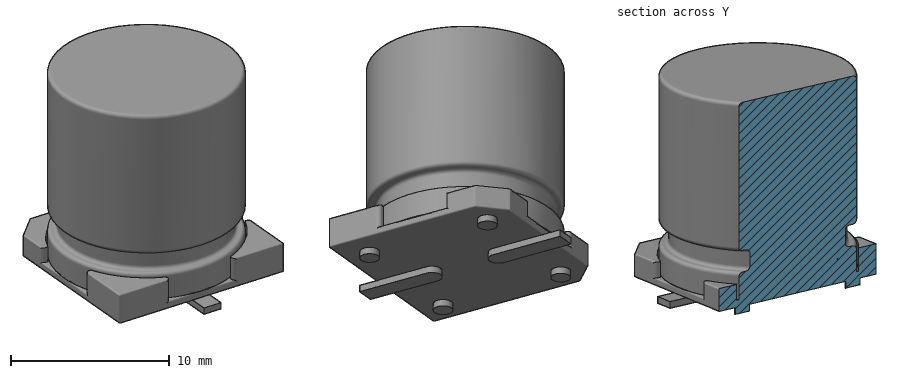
import cadquery as cq

total_height = 14.0
lead_span = 14.9
base_size = 12.5
half_base = base_size / 2

can_radius = 6.25
neck_radius = 5.625
can_edge_round = 0.25
neck_bottom = 2.73
neck_top = 4.13

standoff = 0.45
floor_top = 0.95
low_post_top = 2.0
high_post_top = 2.5
corner_chamfer = 1.6
base_edge_round = 0.1
post_clearance = 0.1
notch_half_width = 2.42
post_tip_round = 0.25

foot_diameter = 1.25
foot_offset = 4.375
lead_width = 1.3
lead_inner_tip = 1.825


def base_block(top):
    """Square base block with both -X corners chamfered and all edges rounded, from standoff to top."""
    block = (
        cq.Workplane("XY")
        .workplane(offset=standoff)
        .rect(base_size, base_size)
        .extrude(top - standoff)
    )
    block = block.edges("|Z and <X").chamfer(corner_chamfer)
    return block.edges().fillet(base_edge_round)


def corner_post(side_x, side_y, top):
    """Corner post outside the can clearance, with rounded outer edges beside the notches."""
    post_width = half_base - notch_half_width
    post_center = (half_base + notch_half_width) / 2
    post = (
        cq.Workplane("XY")
        .workplane(offset=standoff)
        .center(side_x * post_center, side_y * post_center)
        .rect(post_width, post_width)
        .extrude(top - standoff)
    )
    outer_x, inner_x = (">X", "<X") if side_x > 0 else ("<X", ">X")
    outer_y, inner_y = (">Y", "<Y") if side_y > 0 else ("<Y", ">Y")
    post = post.edges(f"|Z and {outer_x} and {inner_y}").fillet(post_tip_round)
    post = post.edges(f"|Z and {inner_x} and {outer_y}").fillet(post_tip_round)
    can_space = cq.Workplane("XY").circle(can_radius + post_clearance).extrude(total_height)
    return post.intersect(base_block(top)).cut(can_space)


def base():
    """Base plate with two low posts on -X and two high posts on +X."""
    body = base_block(floor_top)
    for side_x, top in ((-1, low_post_top), (1, high_post_top)):
        for side_y in (-1, 1):
            body = body.union(corner_post(side_x, side_y, top))
    return body


def can():
    """Turned can with a rounded neck groove and rounded top edge."""
    r = can_edge_round
    profile = (
        cq.Workplane("XZ")
        .moveTo(0, floor_top)
        .lineTo(can_radius, floor_top)
        .lineTo(can_radius, neck_bottom - r)
        .radiusArc((can_radius - r, neck_bottom), -r)
        .lineTo(neck_radius + r, neck_bottom)
        .radiusArc((neck_radius, neck_bottom + r), r)
        .lineTo(neck_radius, neck_top - r)
        .radiusArc((neck_radius + r, neck_top), r)
        .lineTo(can_radius - r, neck_top)
        .radiusArc((can_radius, neck_top + r), -r)
        .lineTo(can_radius, total_height - r)
        .radiusArc((can_radius - r, total_height), -r)
        .lineTo(0, total_height)
        .close()
    )
    return profile.revolve(360, (0, 0, 0), (0, 1, 0))


def feet():
    """Four round feet under the base corners."""
    return (
        cq.Workplane("XY")
        .rect(2 * foot_offset, 2 * foot_offset, forConstruction=True)
        .vertices()
        .circle(foot_diameter / 2)
        .extrude(standoff)
    )


def lead(side):
    """Flat lead with a rounded inner end, reaching out past the base on one side."""
    half_width = lead_width / 2
    round_center = side * (lead_inner_tip + half_width)
    outer_end = side * lead_span / 2
    return (
        cq.Workplane("XY")
        .moveTo(outer_end, -half_width)
        .lineTo(round_center, -half_width)
        .threePointArc((side * lead_inner_tip, 0), (round_center, half_width))
        .lineTo(outer_end, half_width)
        .close()
        .extrude(standoff)
    )


result = base().union(can()).union(feet()).union(lead(-1)).union(lead(1))